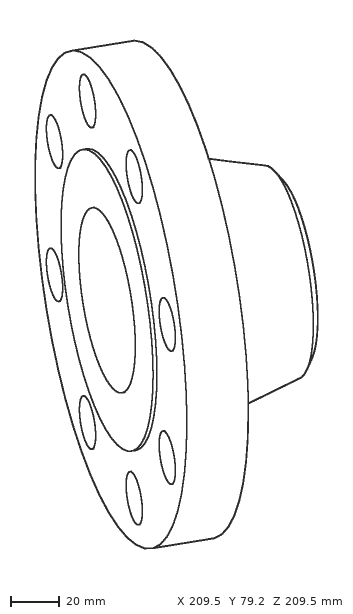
import cadquery as cq

flange_diameter = 209.5
flange_thickness = 26.8
raised_face_diameter = 127.0
raised_face_height = 1.7
bore_diameter = 78.0
overall_length = 79.2

hub_base_diameter = 117.3
hub_neck_diameter = 90.0
hub_end_diameter = 80.0
bevel_length = 3.5

bolt_count = 8
bolt_circle_diameter = 168.3
bolt_hole_diameter = 22.5

flange_front = raised_face_height
flange_back = flange_front + flange_thickness
bevel_start = overall_length - bevel_length


def make_body():
    """Revolve the half section of raised face, flange and tapered hub."""
    half_section = [
        (bore_diameter / 2, 0),
        (raised_face_diameter / 2, 0),
        (raised_face_diameter / 2, flange_front),
        (flange_diameter / 2, flange_front),
        (flange_diameter / 2, flange_back),
        (hub_base_diameter / 2, flange_back),
        (hub_neck_diameter / 2, bevel_start),
        (hub_end_diameter / 2, overall_length),
        (bore_diameter / 2, overall_length),
    ]
    profile = cq.Workplane("XY").polyline(half_section).close()
    return profile.revolve(360, (0, 0, 0), (0, 1, 0))


def make_bolt_holes():
    """Through holes straddling the X and Z axes."""
    half_pitch = 360 / bolt_count / 2
    return (
        cq.Workplane("XZ")
        .polarArray(bolt_circle_diameter / 2, half_pitch, 360, bolt_count)
        .circle(bolt_hole_diameter / 2)
        .extrude(-flange_back)
    )


result = make_body().cut(make_bolt_holes())